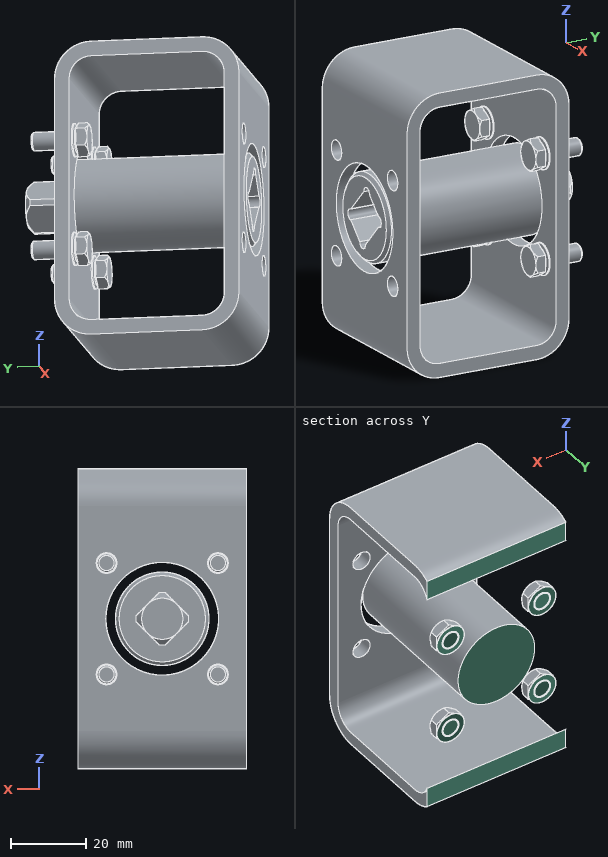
import cadquery as cq
import math

frame_width = 45.0
frame_depth = 50.0
frame_height = 80.0
wall = 4.0
outer_corner_radius = 10.0
window_diameter = 30.0

bolt_circle_diameter = 42.0
screw_spacing = bolt_circle_diameter / math.sqrt(2)
screw_hole_diameter = 5.5

shaft_diameter = 25.0
shaft_front_y = 0.0
shaft_chamfer = 1.0
drive_size = 11.0
drive_angle = 45
drive_corner_diameter = 14.0
drive_chamfer = (drive_corner_diameter - drive_size) / 2
shoulder_y = frame_depth
drive_projection = 11.0
drive_end_y = shoulder_y + drive_projection
socket_width = drive_size
socket_depth = 16.0
socket_angle = -45
socket_length = 14.0
relief_radius = 1.5

screw_diameter = 5.0
screw_length = 12.0
screw_tip_chamfer = 0.5
head_across_flats = 8.0
head_height = 3.5
bearing_face_diameter = 6.9
bearing_face_height = 0.5

washer_bore = 5.3
washer_outer_diameter = 9.0
washer_top_diameter = 6.9
washer_height = 0.6
washer_rim = 0.3

back_inner_y = frame_depth - wall
screw_seat_y = back_inner_y - washer_height
half_spacing = screw_spacing / 2
screw_positions = [(x, z) for x in (-half_spacing, half_spacing) for z in (-half_spacing, half_spacing)]


def cylinder_y(diameter, y_start, y_end):
    """Cylinder along Y, centred on the Y axis."""
    return cq.Workplane("XZ", origin=(0, y_start, 0)).circle(diameter / 2).extrude(y_start - y_end)


def make_frame():
    """Rounded tube with a large window and four screw holes through both the front and back walls."""
    tube = (
        cq.Workplane("XY")
        .box(frame_width, frame_depth, frame_height)
        .edges("|X")
        .fillet(outer_corner_radius)
    )
    opening = (
        cq.Workplane("XY")
        .box(frame_width, frame_depth - 2 * wall, frame_height - 2 * wall)
        .edges("|X")
        .fillet(outer_corner_radius - wall)
    )
    tube = tube.cut(opening).translate((0, frame_depth / 2, 0))
    window = cylinder_y(window_diameter, 0, frame_depth)
    tube = tube.cut(window)
    for x, z in screw_positions:
        tube = tube.cut(cylinder_y(screw_hole_diameter, 0, frame_depth).translate((x, 0, z)))
    return tube


def make_socket():
    """Rectangular socket with round corner reliefs, turned about Y."""
    socket_plane = cq.Workplane("XZ", origin=(0, shaft_front_y, 0))
    socket = socket_plane.rect(socket_length, socket_width).extrude(-socket_depth)
    inset = relief_radius / math.sqrt(2)
    reliefs = (
        socket_plane.rect(socket_length - 2 * inset, socket_width - 2 * inset, forConstruction=True)
        .vertices()
        .circle(relief_radius)
        .extrude(-socket_depth)
    )
    socket = socket.union(reliefs)
    return socket.rotate((0, 0, 0), (0, 1, 0), socket_angle)


def make_shaft():
    """Round body with a chamfered square drive at the back and a corner-relieved socket in front."""
    body = cylinder_y(shaft_diameter, shaft_front_y, shoulder_y)
    body = body.faces("<Y or >Y").chamfer(shaft_chamfer)
    drive = cylinder_y(drive_corner_diameter, shoulder_y, drive_end_y).faces(">Y").chamfer(drive_chamfer)
    square = (
        cq.Workplane("XZ", origin=(0, shoulder_y, 0))
        .rect(drive_size, drive_size)
        .extrude(-drive_projection)
        .rotate((0, 0, 0), (0, 1, 0), drive_angle)
    )
    return body.union(drive.intersect(square)).cut(make_socket())


def make_screw(x, z):
    """Hexagon-head screw pointing toward +Y, with a round bearing face under its head."""
    head_front_y = screw_seat_y - head_height
    shank = cylinder_y(screw_diameter, screw_seat_y, screw_seat_y + screw_length)
    shank = shank.faces(">Y").chamfer(screw_tip_chamfer)
    bearing_start_y = screw_seat_y - bearing_face_height
    bearing_face = cylinder_y(bearing_face_diameter, bearing_start_y, screw_seat_y)
    corner_diameter = head_across_flats / math.cos(math.pi / 6)
    head = (
        cq.Workplane("XZ", origin=(0, head_front_y, 0))
        .transformed(rotate=(0, 0, 90))
        .polygon(6, corner_diameter)
        .extrude(head_front_y - bearing_start_y)
    )
    chamfer_width = (corner_diameter - head_across_flats) / 2
    envelope = cylinder_y(corner_diameter, head_front_y, bearing_start_y).faces("<Y").chamfer(chamfer_width)
    return head.intersect(envelope).union(bearing_face).union(shank).translate((x, 0, z))


def make_washer(x, z):
    """Ring with a short cylindrical rim and a conical face that narrows toward the screw head."""
    profile = [
        (washer_bore / 2, back_inner_y),
        (washer_outer_diameter / 2, back_inner_y),
        (washer_outer_diameter / 2, back_inner_y - washer_rim),
        (washer_top_diameter / 2, screw_seat_y),
        (washer_bore / 2, screw_seat_y),
    ]
    washer = cq.Workplane("XY").polyline(profile).close().revolve(360, (0, 0, 0), (0, 1, 0))
    return washer.translate((x, 0, z))


frame = make_frame()
shaft = make_shaft()
screws = [make_screw(x, z) for x, z in screw_positions]
washers = [make_washer(x, z) for x, z in screw_positions]

result = cq.Compound.makeCompound(
    [frame.val(), shaft.val()] + [screw.val() for screw in screws] + [washer.val() for washer in washers]
)